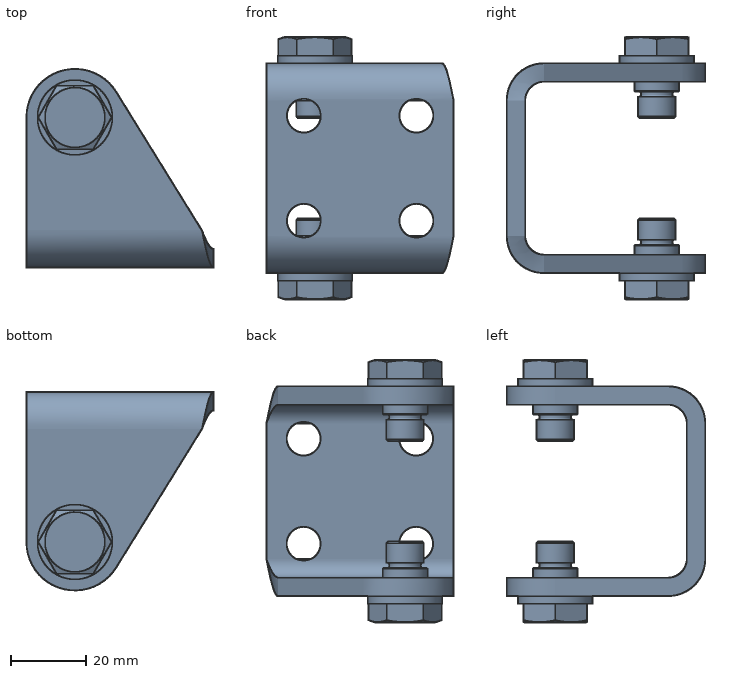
import cadquery as cq
import math

width = 50.0
depth = 53.0
overall_height = 70.1
bracket_height = 56.0
thickness = 5.0
inner_bend_radius = 5.0
outer_bend_radius = inner_bend_radius + thickness
lug_end_radius = 13.0
lug_root_width = 46.8

hole_diameter = 9.0
hole_spacing_x = 30.0
hole_spacing_z = 28.05
first_hole_x = 10.0

washer_diameter = 20.0
washer_thickness = 2.0
head_across_flats = 16.95
head_top_diameter = 16.0
head_chamfer_angle = math.radians(20)
shoulder_diameter = 12.0
shoulder_length = 2.6
shoulder_chamfer = 0.3
neck_diameter = 8.5
neck_length = 1.3
neck_fillet = 0.4
tip_diameter = 10.0
tip_length = 5.75
tip_chamfer = 0.5

half_height = bracket_height / 2
head_height = overall_height / 2 - half_height - washer_thickness
half_wall = half_height - outer_bend_radius
bolt_x = lug_end_radius
bolt_y = depth - lug_end_radius


def make_wall():
    return cq.Workplane("XY").box(width, thickness, 2 * half_wall, centered=(False, False, True))


def make_hole_cutters():
    """Four cylinders as deep as the wall is thick."""
    return (
        cq.Workplane("XZ")
        .center(first_hole_x + hole_spacing_x / 2, 0)
        .rarray(hole_spacing_x, hole_spacing_z, 2, 2)
        .circle(hole_diameter / 2)
        .extrude(-thickness)
    )


def make_lug():
    """Upper lug: a rounded end joined to the bend by a slanted tangent edge."""
    dx = lug_root_width - bolt_x
    dy = outer_bend_radius - bolt_y
    tangent_angle = math.atan2(dy, dx) + math.acos(lug_end_radius / math.hypot(dx, dy))
    tangent_point = (
        bolt_x + lug_end_radius * math.cos(tangent_angle),
        bolt_y + lug_end_radius * math.sin(tangent_angle),
    )
    return (
        cq.Workplane("XY", origin=(0, 0, half_height - thickness))
        .moveTo(0, outer_bend_radius)
        .lineTo(lug_root_width, outer_bend_radius)
        .lineTo(*tangent_point)
        .threePointArc((bolt_x, depth), (0, bolt_y))
        .close()
        .extrude(thickness)
    )


def bend_sector(inner_radius, outer_radius):
    """Quarter ring about the bend axis, in a sketch plane centred on it."""
    diagonal = math.sqrt(0.5)
    return (
        cq.Workplane("YZ")
        .moveTo(-inner_radius, 0)
        .lineTo(-outer_radius, 0)
        .threePointArc((-outer_radius * diagonal, outer_radius * diagonal), (0, outer_radius))
        .lineTo(0, inner_radius)
        .threePointArc((-inner_radius * diagonal, inner_radius * diagonal), (-inner_radius, 0))
        .close()
    )


def make_bend():
    """Upper bend; its free end widens evenly with bend angle from lug to wall."""
    margin = 0.7
    widening = width - lug_root_width
    ring = bend_sector(inner_bend_radius, outer_bend_radius).extrude(width)
    straight = bend_sector(inner_bend_radius, outer_bend_radius).extrude(lug_root_width)
    twisted = (
        bend_sector(inner_bend_radius - margin, outer_bend_radius + margin)
        .twistExtrude(widening, 90)
        .translate((lug_root_width, 0, 0))
    )
    bend = straight.union(ring.intersect(twisted))
    return bend.translate((0, outer_bend_radius, half_wall))


def cylinder(diameter, bottom, length):
    return cq.Workplane("XY", origin=(0, 0, bottom)).circle(diameter / 2).extrude(length)


def make_head(bottom):
    """Hexagon head with a conical chamfer on its corners."""
    corner_diameter = head_across_flats / math.cos(math.radians(30))
    hexagon = (
        cq.Workplane("XY", origin=(0, 0, bottom))
        .polygon(6, corner_diameter)
        .extrude(head_height)
    )
    chamfer_width = (corner_diameter - head_top_diameter) / 2
    chamfer_drop = chamfer_width * math.tan(head_chamfer_angle)
    envelope = (
        cq.Workplane("XZ")
        .moveTo(0, bottom)
        .lineTo(corner_diameter / 2, bottom)
        .lineTo(corner_diameter / 2, bottom + head_height - chamfer_drop)
        .lineTo(head_top_diameter / 2, bottom + head_height)
        .lineTo(0, bottom + head_height)
        .close()
        .revolve(360, (0, 0, 0), (0, 1, 0))
    )
    return hexagon.intersect(envelope)


def make_bolt():
    """Upper bolt, head up, with its stepped shank pointing down into the bracket."""
    shoulder_bottom = half_height - thickness - shoulder_length
    neck_bottom = shoulder_bottom - neck_length
    tip_bottom = neck_bottom - tip_length
    washer = cylinder(washer_diameter, half_height, washer_thickness)
    shoulder = cylinder(shoulder_diameter, shoulder_bottom, half_height - shoulder_bottom)
    shoulder = shoulder.faces("<Z").chamfer(shoulder_chamfer)
    neck = cylinder(neck_diameter, neck_bottom, neck_length)
    tip = cylinder(tip_diameter, tip_bottom, tip_length).faces("<Z").chamfer(tip_chamfer)
    head = make_head(half_height + washer_thickness)
    shank = shoulder.union(neck).union(tip)
    shank = shank.edges(cq.selectors.RadiusNthSelector(0)).fillet(neck_fillet)
    bolt = washer.union(head).union(shank)
    return bolt.translate((bolt_x, bolt_y, 0))


upper_half = make_lug().union(make_bend()).union(make_bolt())
lower_half = upper_half.mirror("XY")
result = make_wall().union(upper_half).union(lower_half).cut(make_hole_cutters())